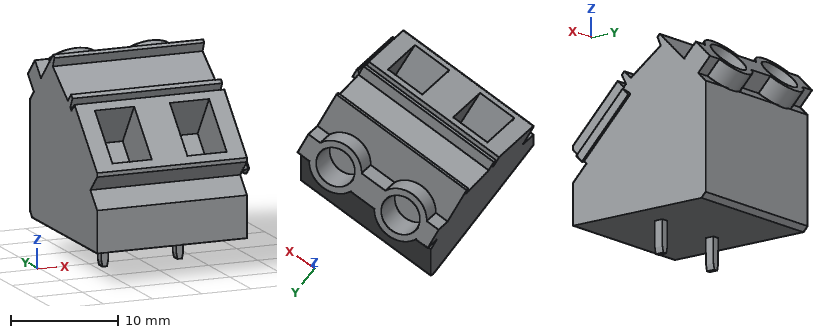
import cadquery as cq
import math


pole_count = 2
pitch = 7.62
pole_xs = [(i + 0.5) * pitch for i in range(pole_count)]

housing_width = pole_count * pitch
housing_depth = 15.9
back_chamfer = 0.5
front_edge_z = 7.75
front_land = 0.4
notch_depth = 2.55

wire_face_length = 7.58
notch_along = -front_land / math.sqrt(2)
groove_bottom_out = -1.04
first_lip_root = 7.95
first_lip_tip_start = 8.27
first_lip_end = 8.72
lid_front_out = -1.1
lid_back_along = 13.0
lid_back_out = -1.85
deck_along = 13.75
second_lip_tip_start = 13.37
second_lip_out = -0.95

bar_height = 2.0
bar_width = 2.4
bar_out = -6.28
collar_diameter = 5.4
screw_hole_diameter = 4.0
screw_hole_depth = 3.0

entry_width = 4.0
entry_mouth_length = 5.88
entry_floor_length = 4.15
entry_depth = 4.7

rail_depth = 2.0
rail_height = 0.6
rail_neck_height = 0.15
rail_flare_end = 0.45
rail_neck_thickness = 0.35
rail_head_thickness = 0.95

pin_width = 0.7
pin_thickness = 0.9
pin_y = 7.5
pin_length = 3.2
pin_tip_length = 0.6
pin_tip_width = 0.45

along_axis = (0, 1, 1)
out_axis = (0, -1, 1)


def tilted(along, out):
    """Y and Z of a point given in the tilted frame."""
    return (along - out) / math.sqrt(2), front_edge_z + (along + out) / math.sqrt(2)


def tilted_plane(x, along, out, normal):
    """Work plane at a tilted-frame point, with its local x along the row of poles."""
    y, z = tilted(along, out)
    return cq.Workplane(cq.Plane(origin=(x, y, z), xDir=(1, 0, 0), normal=normal))


def make_body():
    notch_floor_z = front_edge_z - notch_depth * math.sqrt(2)
    deck_back_out = deck_along - housing_depth * math.sqrt(2)
    outline = [
        (0, 0),
        (0, notch_floor_z),
        tilted(notch_along, -notch_depth),
        (0, front_edge_z - front_land),
        (0, front_edge_z),
        tilted(wire_face_length, 0),
        tilted(wire_face_length, groove_bottom_out),
        tilted(first_lip_root, groove_bottom_out),
        tilted(first_lip_tip_start, 0),
        tilted(first_lip_end, 0),
        tilted(first_lip_end, lid_front_out),
        tilted(lid_back_along, lid_back_out),
        tilted(second_lip_tip_start, second_lip_out),
        tilted(deck_along, second_lip_out),
        tilted(deck_along, deck_back_out),
        (housing_depth, back_chamfer),
        (housing_depth - back_chamfer, 0),
    ]
    return cq.Workplane("YZ").polyline(outline).close().extrude(housing_width)


def make_screw_bar():
    plane = tilted_plane(housing_width / 2, deck_along, bar_out, along_axis)
    return plane.rect(housing_width, bar_width).extrude(bar_height)


def make_collar(x):
    plane = tilted_plane(x, deck_along, bar_out, along_axis)
    return plane.circle(collar_diameter / 2).extrude(bar_height)


def make_screw_hole(x):
    plane = tilted_plane(x, deck_along + bar_height, bar_out, along_axis)
    return plane.circle(screw_hole_diameter / 2).extrude(-screw_hole_depth)


def make_wire_entry(x):
    plane = tilted_plane(x, wire_face_length / 2, 0, out_axis)
    mouth = plane.rect(entry_width, entry_mouth_length)
    floor = mouth.workplane(offset=-entry_depth).rect(entry_width, entry_floor_length)
    return floor.loft(ruled=True)


def make_rail():
    half_neck = rail_neck_thickness / 2
    half_head = rail_head_thickness / 2
    section = [
        (0, -half_neck),
        (rail_neck_height, -half_neck),
        (rail_flare_end, -half_head),
        (rail_height, -half_head),
        (rail_height, half_head),
        (rail_flare_end, half_head),
        (rail_neck_height, half_neck),
        (0, half_neck),
    ]
    plane = tilted_plane(housing_width, notch_along, -rail_depth, along_axis)
    return plane.polyline(section).close().extrude(wire_face_length - notch_along)


def make_housing():
    housing = make_body().union(make_screw_bar()).union(make_rail())
    for x in pole_xs:
        housing = housing.union(make_collar(x))
    for x in pole_xs:
        housing = housing.cut(make_screw_hole(x)).cut(make_wire_entry(x))
    return housing.solids()


def make_pin(x):
    """Flat pin standing against the underside, narrowed in X at its tip."""
    half_width = pin_width / 2
    half_tip = pin_tip_width / 2
    tip_start_z = pin_tip_length - pin_length
    outline = [
        (x - half_width, 0),
        (x - half_width, tip_start_z),
        (x - half_tip, -pin_length),
        (x + half_tip, -pin_length),
        (x + half_width, tip_start_z),
        (x + half_width, 0),
    ]
    plane = cq.Workplane("XZ", origin=(0, pin_y, 0))
    return plane.polyline(outline).close().extrude(pin_thickness / 2, both=True)


housing = make_housing()
pins = [make_pin(x) for x in pole_xs]

result = cq.Compound.makeCompound([housing.val(), *[pin.val() for pin in pins]])